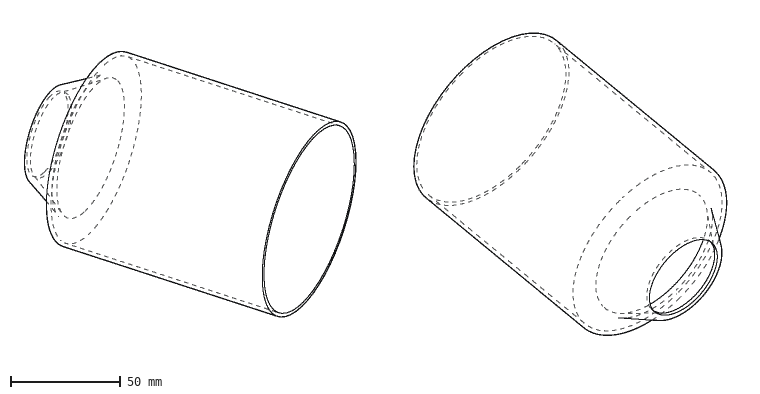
import cadquery as cq

total_length = 134.66
outer_diameter = 93.6
bore_diameter = 90.0
tip_bore_diameter = 41.0
wall = (outer_diameter - bore_diameter) / 2

nose_length = 20.7
tip_radius = 23.55
nose_base_radius = 35.2

shoulder_edge_x = 23.3

edge_fillet = 1.5
selection_margin = 0.1

tip_land_length = 1.8

nose_base_inset = 1.5

outer_radius = outer_diameter / 2
bore_radius = bore_diameter / 2
tip_bore_radius = tip_bore_diameter / 2

nose_inner_x = nose_length + nose_base_inset
nose_inner_radius = nose_base_radius - nose_base_inset
shoulder_inner_x = shoulder_edge_x + wall


def revolve_about_x(profile):
    return profile.close().revolve(360, (0, 0, 0), (1, 0, 0))


def outer_body():
    profile = (
        cq.Workplane("XY")
        .lineTo(0, tip_radius)
        .lineTo(nose_length, nose_base_radius)
        .lineTo(shoulder_edge_x, outer_radius)
        .lineTo(total_length, outer_radius)
        .lineTo(total_length, 0)
    )
    return revolve_about_x(profile)


def round_edge(body, x, radius):
    low_corner = (x - selection_margin, -radius - selection_margin, -radius - selection_margin)
    high_corner = (x + selection_margin, radius + selection_margin, radius + selection_margin)
    selector = cq.selectors.BoxSelector(low_corner, high_corner, boundingbox=True)
    return body.edges(selector).fillet(edge_fillet)


def cavity():
    profile = (
        cq.Workplane("XY")
        .lineTo(0, tip_bore_radius)
        .lineTo(tip_land_length, tip_bore_radius)
        .lineTo(nose_inner_x, nose_inner_radius)
        .lineTo(shoulder_inner_x, bore_radius)
        .lineTo(total_length, bore_radius)
        .lineTo(total_length, 0)
    )
    return revolve_about_x(profile)


body = outer_body()
body = round_edge(body, 0, tip_radius)
body = round_edge(body, nose_length, nose_base_radius)
body = round_edge(body, shoulder_edge_x, outer_radius)
result = body.cut(cavity())